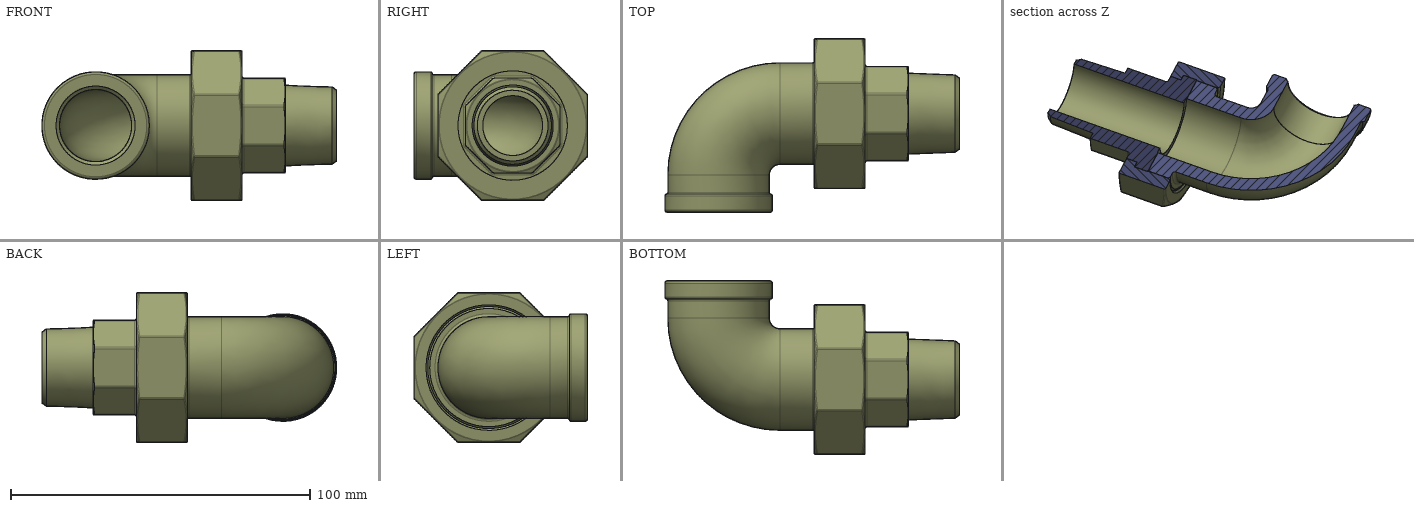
import cadquery as cq
import math

tube_d = 34.0
bore_d = 24.0
bend_radius = 20.5
collar_d = 36.0
collar_length = 6.1
collar_end_fillet = 0.9
collar_inner_fillet = 0.6
outlet_y = -33.0
mouth_d = 26.4
mouth_depth = 1.0
socket_d = 24.1
socket_depth = 13.0

flange_x = 32.4
flange_length = 8.0
flange_d = 40.8
flange_face_d = 39.5
flange_root_fillet = 1.0

nut_x = 31.9
nut_length = 17.0
nut_flats = 50.0
nut_face_d = 49.25
nut_mouth_d = 42.0
nut_edge_fillet = 0.8
nut_rim_fillet = 0.4
nut_lip_length = 3.9
nut_lip_d = 36.5

tail_bore_d = 20.0
tail_flats = 31.6
tail_face_d = 30.9
tail_edge_fillet = 1.0
tail_rim_fillet = 0.8
tail_root_fillet = 0.7
octagon_end_x = 63.4
overall_length = 98.5
spigot_root_d = 27.1
spigot_tip_d = 25.9
spigot_end_d = 23.6
spigot_chamfer_length = 1.5

bevel_angle = math.radians(20)

tube_r = tube_d / 2
tail_end_x = overall_length - collar_d / 2
flange_r = flange_d / 2
seat_x = flange_x + flange_length
nut_end_x = nut_x + nut_length
lip_x = nut_end_x - nut_lip_length
flange_chamfer = (flange_d - flange_face_d) / 2
nut_mouth_chamfer = (nut_mouth_d - flange_d) / 2
collar_y = outlet_y + collar_length


def turned(points, axis_end):
    """Solid of revolution about the line from the origin to axis_end, in the XY plane."""
    return cq.Workplane("XY").polyline(points).close().revolve(360, (0, 0, 0), axis_end)


def turned_about_x(points):
    """Solid turned about the X axis from (x, radius) points."""
    return turned(points, (1, 0, 0))


def rod(diameter, start_x, end_x):
    """Cylinder along the X axis."""
    return cq.Workplane("YZ", origin=(start_x, 0, 0)).circle(diameter / 2).extrude(end_x - start_x)


def octagon(flats, start_x, end_x, edge_fillet):
    """Octagonal bar along X with flats square to Y and Z and rounded long edges."""
    bar = (
        cq.Workplane("YZ", origin=(start_x, 0, 0))
        .polygon(8, flats, circumscribed=True)
        .extrude(end_x - start_x)
    )
    return bar.edges("|X").fillet(edge_fillet)


def bevel_cone(face_d, face_x, far_x):
    """Cone that widens from an end face towards far_x; its overlap with a bar has bevelled corners."""
    face_r = face_d / 2
    far_r = face_r + abs(far_x - face_x) / math.tan(bevel_angle)
    return turned_about_x([(face_x, 0), (face_x, face_r), (far_x, far_r), (far_x, 0)])


def bent_rod(diameter, start_y, end_x):
    """Round bar that rises along Y, turns through the bend and runs on along X."""
    radius = diameter / 2
    riser = cq.Workplane("XZ", origin=(0, start_y, 0)).circle(radius).extrude(start_y + bend_radius)
    bend = (
        cq.Workplane("XZ", origin=(0, -bend_radius, 0))
        .circle(radius)
        .revolve(90, (bend_radius, 0, 0), (bend_radius, -1, 0))
    )
    return riser.union(bend).union(rod(diameter, bend_radius, end_x))


def outlet_collar():
    """Rounded collar at the outlet, blended into the tube."""
    r = collar_d / 2
    root = collar_inner_fillet
    end = collar_end_fillet
    profile = (
        cq.Workplane("XY")
        .moveTo(0, outlet_y)
        .lineTo(r - end, outlet_y)
        .radiusArc((r, outlet_y + end), -end)
        .lineTo(r, collar_y - root)
        .radiusArc((r - root, collar_y), -root)
        .lineTo(tube_r + root, collar_y)
        .radiusArc((tube_r, collar_y + root), root)
        .lineTo(0, collar_y + root)
        .close()
    )
    return profile.revolve(360, (0, 0, 0), (0, 1, 0))


def seat_flange():
    """Flange with a bevelled rim and a fillet that runs onto the tube."""
    root = flange_root_fillet
    profile = (
        cq.Workplane("XY")
        .moveTo(flange_x - root, 0)
        .lineTo(flange_x - root, tube_r)
        .radiusArc((flange_x, tube_r + root), -root)
        .lineTo(flange_x, flange_face_d / 2)
        .lineTo(flange_x + flange_chamfer, flange_r)
        .lineTo(seat_x, flange_r)
        .lineTo(seat_x, 0)
        .close()
    )
    return profile.revolve(360, (0, 0, 0), (1, 0, 0))


def outlet_socket():
    """Countersunk socket at the outlet, slightly wider than the bore behind it."""
    points = [
        (0, outlet_y),
        (mouth_d / 2, outlet_y),
        (socket_d / 2, outlet_y + mouth_depth),
        (socket_d / 2, outlet_y + socket_depth),
        (0, outlet_y + socket_depth),
    ]
    return turned(points, (0, 1, 0))


def make_elbow():
    body = bent_rod(tube_d, outlet_y, seat_x).union(outlet_collar()).union(seat_flange())
    return body.cut(bent_rod(bore_d, outlet_y, seat_x)).cut(outlet_socket())


def make_nut():
    body = octagon(nut_flats, nut_x, nut_end_x, nut_edge_fillet)
    body = body.intersect(bevel_cone(nut_face_d, nut_x, nut_end_x))
    body = body.intersect(bevel_cone(nut_face_d, nut_end_x, nut_x))
    body = body.edges("not |X").fillet(nut_rim_fillet)
    bore = [
        (nut_x, 0),
        (nut_x, nut_mouth_d / 2),
        (nut_x + nut_mouth_chamfer, flange_r),
        (lip_x, flange_r),
        (lip_x, nut_lip_d / 2),
        (nut_end_x, nut_lip_d / 2),
        (nut_end_x, 0),
    ]
    return body.cut(turned_about_x(bore))


def make_tailpiece():
    shoulder = rod(flange_d, seat_x, lip_x).union(rod(nut_lip_d, lip_x, nut_end_x))
    bar = octagon(tail_flats, nut_end_x, octagon_end_x, tail_edge_fillet)
    bar = bar.intersect(bevel_cone(tail_face_d, octagon_end_x, nut_end_x))
    bar = bar.faces(">X").edges().fillet(tail_rim_fillet)
    spigot = turned_about_x(
        [
            (octagon_end_x, 0),
            (octagon_end_x, spigot_root_d / 2),
            (tail_end_x - spigot_chamfer_length, spigot_tip_d / 2),
            (tail_end_x, spigot_end_d / 2),
            (tail_end_x, 0),
        ]
    )
    body = shoulder.union(bar)
    root_edges = cq.selectors.BoxSelector(
        (nut_end_x - 0.1, -17.7, -17.7), (nut_end_x + 0.1, 17.7, 17.7), boundingbox=True
    )
    body = body.edges(root_edges).fillet(tail_root_fillet)
    return body.union(spigot).cut(rod(tail_bore_d, seat_x, tail_end_x))


elbow = make_elbow()
nut = make_nut()
tailpiece = make_tailpiece()

result = cq.Compound.makeCompound([elbow.val(), nut.val(), tailpiece.val()])